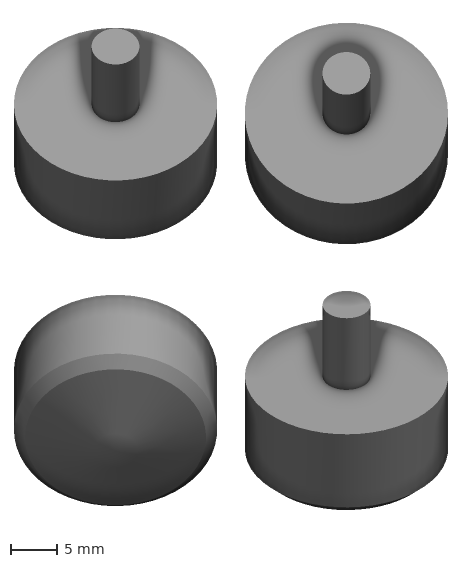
import cadquery as cq

total_height = 23.3
body_diameter = 22.1
stem_diameter = 5.2

cone_height = 2.94
chamfer_size = 1.2
stem_length = 9.48

body_radius = body_diameter / 2
stem_radius = stem_diameter / 2
cone_radius = body_radius - chamfer_size
chamfer_top = cone_height + chamfer_size
body_top = total_height - stem_length

half_section = (
    cq.Workplane("XZ")
    .moveTo(0, 0)
    .lineTo(cone_radius, cone_height)
    .lineTo(body_radius, chamfer_top)
    .lineTo(body_radius, body_top)
    .lineTo(stem_radius, body_top)
    .lineTo(stem_radius, total_height)
    .lineTo(0, total_height)
    .close()
)

result = half_section.revolve(360, (0, 0, 0), (0, 1, 0))